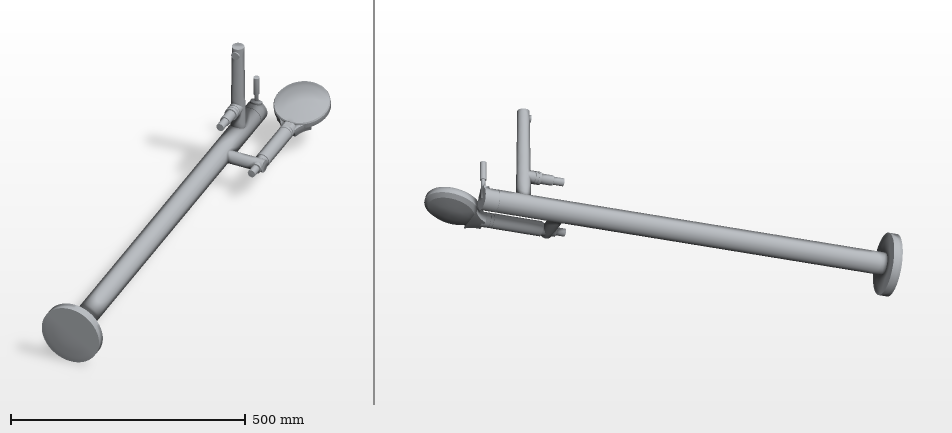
import cadquery as cq
import math

TOTAL_LENGTH = 1025.0

FLANGE_RADIUS = 68.0
FLANGE_THICKNESS = 19.0
COLUMN_RADIUS = 25.0
COLUMN_TOP = 931.0
CAP_SEAM_Y = 899.0
SEAM_WIDTH = 2.0
SEAM_DEPTH = 1.0

LEVER_Y = 928.0
LEVER_TOP = 87.0
LEVER_GRIP_BOTTOM = 45.0
LEVER_GRIP_RADIUS = 6.7
LEVER_STEM_RADIUS = 4.6
LEVER_BOSS_RADIUS = 13.0
LEVER_BOSS_TOP = 29.0

POST_Y = 836.0
POST_TOP = 225.0
POST_TOP_RADIUS = 13.0
POST_BOTTOM_RADIUS = 16.0
NOZZLE_Z = 209.0
NOZZLE_RADIUS = 9.0
NOZZLE_PROJECTION = 2.0

CONNECTOR_Z = 71.0
COLLAR_RADIUS = 14.0
COLLAR_END_Y = 799.0
COLLAR_GROOVES_Y = (807.0, 814.0)
COLLAR_GROOVE_WIDTH = 3.0
SLEEVE_RADIUS = 11.0
SLEEVE_END_Y = 771.0
HOSE_RADIUS = 8.7
CONNECTOR_END_Y = 746.0

ARM_Y = 748.0
ARM_RADIUS = 14.0
ARM_END_X = 105.0

SHOWER_X = 91.0
HANDLE_RADIUS = 16.0
HANDLE_BOTTOM_Y = 765.0
HANDLE_TOP_Y = 901.0
HANDLE_SEAMS_Y = (876.0, 884.0)
THUMB_FLAT_START_Y = 884.0
THUMB_FLAT_HALF_WIDTH = 7.7
HOSE_END_Y = 710.0
SOCKET_RADIUS = 12.0
SOCKET_END_Y = 732.0
HANDLE_TAPER_RADIUS = 14.0

HEAD_TILT = math.radians(15.0)
HEAD_FACE_Z = 29.0
HEAD_RADIUS = 61.0
FACE_RADIUS = 59.0
FACE_DOME = 4.0
RIM_START = 3.0
RIM_END = 15.0
HEAD_Y = TOTAL_LENGTH - HEAD_RADIUS * math.cos(HEAD_TILT) - RIM_END * math.sin(HEAD_TILT)
BACK_EDGE_RADIUS = 51.0
BACK_EDGE_DEPTH = 23.0
HEAD_DEPTH = 28.0

NECK_LENGTH = 75.0
NECK_MIDDLE = 60.0
NECK_MIDDLE_HALF_WIDTH = 24.0
NECK_ROOT = 45.0
NECK_ROOT_HALF_WIDTH = 41.0
NECK_FRONT_DEPTH = 5.0
NECK_BACK_DEPTH = 26.0


def rod_y(x, z, y_start, y_end, radius):
    """Round bar along Y."""
    plane = cq.Plane(origin=(x, y_start, z), xDir=(1, 0, 0), normal=(0, 1, 0))
    return cq.Workplane(plane).circle(radius).extrude(y_end - y_start)


def rod_z(x, y, z_start, z_end, radius):
    """Round bar along Z."""
    return cq.Workplane("XY", origin=(x, y, z_start)).circle(radius).extrude(z_end - z_start)


def cone_y(x, z, y_start, y_end, start_radius, end_radius):
    """Truncated cone along Y."""
    cone = cq.Solid.makeCone(
        start_radius, end_radius, y_end - y_start, pnt=cq.Vector(x, y_start, z), dir=cq.Vector(0, 1, 0)
    )
    return cq.Workplane(cone)


def ring_groove(x, z, y_center, width, radius, depth):
    """Ring-shaped cutter for a groove round a bar along Y."""
    start = y_center - width / 2
    end = y_center + width / 2
    return rod_y(x, z, start, end, radius + depth).cut(rod_y(x, z, start, end, radius - depth))


def make_column():
    flange = rod_y(0, 0, 0, FLANGE_THICKNESS, FLANGE_RADIUS)
    tube = rod_y(0, 0, 0, COLUMN_TOP, COLUMN_RADIUS)
    seam = ring_groove(0, 0, CAP_SEAM_Y, SEAM_WIDTH, COLUMN_RADIUS, SEAM_DEPTH)
    return flange.union(tube).cut(seam)


def make_lever():
    boss = rod_z(0, LEVER_Y, 0, LEVER_BOSS_TOP, LEVER_BOSS_RADIUS)
    boss = boss.intersect(rod_y(0, 0, 0, COLUMN_TOP, LEVER_BOSS_TOP))
    stem = rod_z(0, LEVER_Y, 0, LEVER_TOP, LEVER_STEM_RADIUS)
    grip = rod_z(0, LEVER_Y, LEVER_GRIP_BOTTOM, LEVER_TOP, LEVER_GRIP_RADIUS)
    return boss.union(stem).union(grip)


def make_post():
    post = cq.Workplane(
        cq.Solid.makeCone(POST_BOTTOM_RADIUS, POST_TOP_RADIUS, POST_TOP, pnt=cq.Vector(0, POST_Y, 0))
    )
    nozzle = rod_y(0, NOZZLE_Z, POST_Y - POST_TOP_RADIUS - NOZZLE_PROJECTION, POST_Y, NOZZLE_RADIUS)
    return post.union(nozzle)


def make_connector():
    collar = rod_y(0, CONNECTOR_Z, COLLAR_END_Y, POST_Y, COLLAR_RADIUS)
    for groove_y in COLLAR_GROOVES_Y:
        groove = ring_groove(0, CONNECTOR_Z, groove_y, COLLAR_GROOVE_WIDTH, COLLAR_RADIUS, SEAM_DEPTH)
        collar = collar.cut(groove)
    sleeve = rod_y(0, CONNECTOR_Z, SLEEVE_END_Y, POST_Y, SLEEVE_RADIUS)
    hose = rod_y(0, CONNECTOR_Z, CONNECTOR_END_Y, POST_Y, HOSE_RADIUS)
    return collar.union(sleeve).union(hose)


def make_arm():
    return cq.Workplane("YZ", origin=(0, ARM_Y, 0)).circle(ARM_RADIUS).extrude(ARM_END_X)


def head_plane():
    """Plane of the shower face: local X is X, local Y runs up the tilted face."""
    return cq.Plane(
        origin=(SHOWER_X, HEAD_Y, HEAD_FACE_Z),
        xDir=(1, 0, 0),
        normal=(0, -math.sin(HEAD_TILT), math.cos(HEAD_TILT)),
    )


def arc_height(radius, edge_radius, height):
    """Height at a radius on a circular dome of a given edge radius and height."""
    sphere = (edge_radius**2 + height**2) / (2 * height)
    return math.sqrt(sphere**2 - radius**2) - (sphere - height)


def make_head():
    face_middle = FACE_RADIUS / 2
    back_middle = BACK_EDGE_RADIUS / 2
    back_dome = HEAD_DEPTH - BACK_EDGE_DEPTH
    back_middle_depth = BACK_EDGE_DEPTH + arc_height(back_middle, BACK_EDGE_RADIUS, back_dome)
    profile = (
        cq.Workplane("XZ")
        .moveTo(0, FACE_DOME)
        .threePointArc((face_middle, arc_height(face_middle, FACE_RADIUS, FACE_DOME)), (FACE_RADIUS, 0))
        .lineTo(HEAD_RADIUS, -RIM_START)
        .lineTo(HEAD_RADIUS, -RIM_END)
        .lineTo(BACK_EDGE_RADIUS, -BACK_EDGE_DEPTH)
        .threePointArc((back_middle, -back_middle_depth), (0, -HEAD_DEPTH))
        .close()
    )
    disc = profile.revolve(360, (0, 0, 0), (0, 1, 0))
    return cq.Workplane(disc.val().moved(cq.Location(head_plane())))


def make_neck():
    outline = (
        cq.Workplane(head_plane())
        .workplane(offset=-NECK_BACK_DEPTH)
        .moveTo(-HANDLE_RADIUS, -NECK_LENGTH)
        .lineTo(HANDLE_RADIUS, -NECK_LENGTH)
        .threePointArc((NECK_MIDDLE_HALF_WIDTH, -NECK_MIDDLE), (NECK_ROOT_HALF_WIDTH, -NECK_ROOT))
        .lineTo(-NECK_ROOT_HALF_WIDTH, -NECK_ROOT)
        .threePointArc((-NECK_MIDDLE_HALF_WIDTH, -NECK_MIDDLE), (-HANDLE_RADIUS, -NECK_LENGTH))
        .close()
    )
    return outline.extrude(NECK_BACK_DEPTH - NECK_FRONT_DEPTH)


def make_handle():
    grip = rod_y(SHOWER_X, 0, HANDLE_BOTTOM_Y, HANDLE_TOP_Y, HANDLE_RADIUS)
    for seam_y in HANDLE_SEAMS_Y:
        grip = grip.cut(ring_groove(SHOWER_X, 0, seam_y, SEAM_WIDTH, HANDLE_RADIUS, SEAM_DEPTH))
    flat_z = math.sqrt(HANDLE_RADIUS**2 - THUMB_FLAT_HALF_WIDTH**2)
    flat_length = HANDLE_TOP_Y - THUMB_FLAT_START_Y
    flat = cq.Workplane("XY", origin=(SHOWER_X, THUMB_FLAT_START_Y, flat_z)).box(
        2 * HANDLE_RADIUS, flat_length, HANDLE_RADIUS, centered=(True, False, False)
    )
    taper = cone_y(SHOWER_X, 0, ARM_Y, HANDLE_BOTTOM_Y, SOCKET_RADIUS, HANDLE_TAPER_RADIUS)
    socket = rod_y(SHOWER_X, 0, SOCKET_END_Y, ARM_Y, SOCKET_RADIUS)
    hose = rod_y(SHOWER_X, 0, HOSE_END_Y, ARM_Y, HOSE_RADIUS)
    return grip.cut(flat).union(taper).union(socket).union(hose)


result = (
    make_column()
    .union(make_lever())
    .union(make_post())
    .union(make_connector())
    .union(make_arm())
    .union(make_handle())
    .union(make_neck())
    .union(make_head())
)